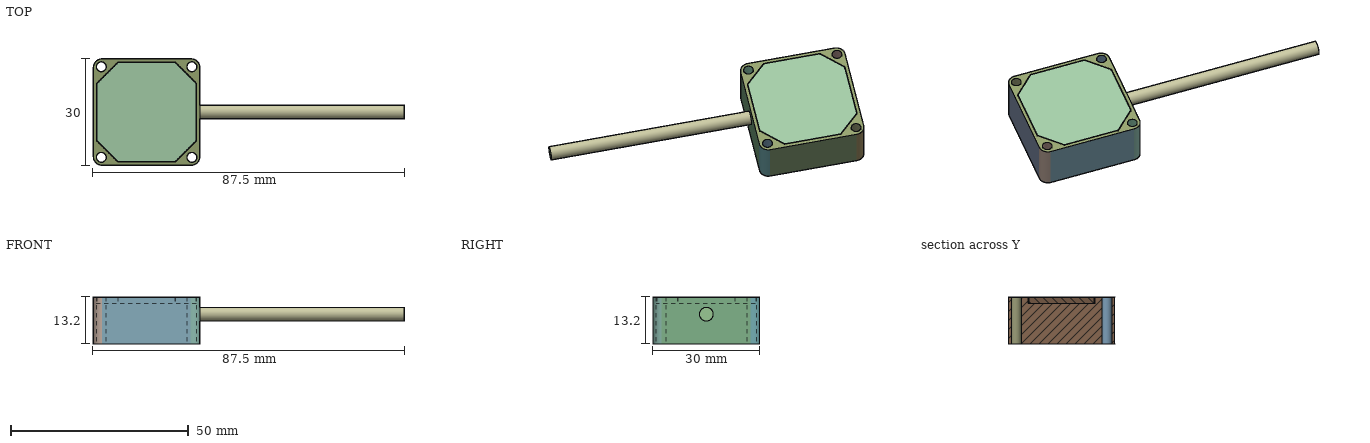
import cadquery as cq
import math

overall_length = 87.5
housing_side = 30.0
housing_height = 13.2
corner_radius = 2.5

hole_diameter = 2.7
hole_inset = 2.3
hole_spacing = housing_side - 2 * hole_inset

recess_depth = 1.75
recess_inset = 1.0
recess_corner_cut = 5.95
lid_gap = 0.13

cable_diameter = 3.85
cable_height = 8.4
cable_length = overall_length - housing_side


def octagon_block(inset, corner_cut):
    """Square block with cut corners, inset from the housing sides and level with the housing top."""
    side = housing_side - 2 * inset
    return (
        cq.Workplane("XY", origin=(0, 0, housing_height - recess_depth))
        .rect(side, side)
        .extrude(recess_depth)
        .edges("|Z")
        .chamfer(corner_cut)
    )


def make_housing():
    """Rounded square block with a lid recess and a through hole at each corner."""
    block = (
        cq.Workplane("XY")
        .rect(housing_side, housing_side)
        .extrude(housing_height)
        .edges("|Z")
        .fillet(corner_radius)
    )
    mounting_holes = (
        cq.Workplane("XY")
        .rect(hole_spacing, hole_spacing, forConstruction=True)
        .vertices()
        .circle(hole_diameter / 2)
        .extrude(housing_height)
    )
    return block.cut(octagon_block(recess_inset, recess_corner_cut)).cut(mounting_holes)


def make_lid():
    """Flush lid on the recess floor, its outline offset inward by the gap on all eight sides."""
    lid_corner_cut = recess_corner_cut - (2 - math.sqrt(2)) * lid_gap
    return octagon_block(recess_inset + lid_gap, lid_corner_cut)


def make_cable():
    """Round cable running in +X from the middle of the housing's +X face."""
    exit_plane = cq.Workplane("YZ", origin=(housing_side / 2, 0, cable_height))
    return exit_plane.circle(cable_diameter / 2).extrude(cable_length)


housing = make_housing()
lid = make_lid()
cable = make_cable()

result = cq.Compound.makeCompound([housing.val(), lid.val(), cable.val()])